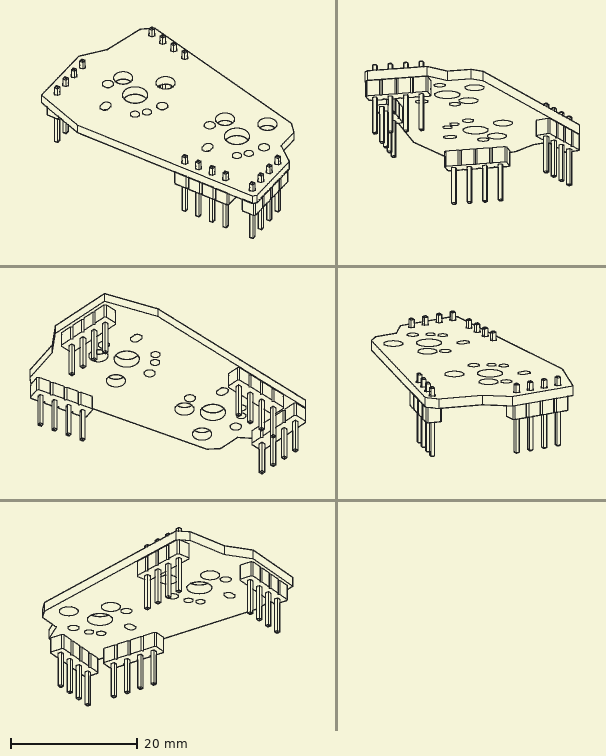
import cadquery as cq
import math

BOARD_LENGTH = 41.95
BOARD_THICKNESS = 1.6
BACK_EDGE_ANGLE = 15.0
BACK_EDGE_START_X = 6.55
BACK_EDGE_END = (37.3, 18.32)
LEFT_SIDE_LOW_Y = 3.2
LEFT_SIDE_HIGH_Y = 14.4
LEFT_NOTCH = (2.98, 18.15)
BACK_LEFT_CORNER = (4.8, 25.1)
BACK_RIGHT_SIDE_X = 38.8
BACK_RIGHT_SIDE_HIGH_Y = 16.7
BACK_RIGHT_SIDE_LOW_Y = 12.85
RIGHT_SIDE_HIGH_Y = 10.27
FRONT_RIGHT_CHAMFER = 0.55
FRONT_EDGE_START_X = 8.72

PINS_PER_HEADER = 4
HEADER_LENGTH = 10.15
PITCH = HEADER_LENGTH / PINS_PER_HEADER
BLOCK_HEIGHT = PITCH
BLOCK_CHAMFER = 0.25
PIN_WIDTH = 0.63
PIN_LENGTH = 11.55
PIN_ABOVE_BOARD = 1.4
PIN_TIP_CHAMFER = 0.15
PIN_HOLE_DIAMETER = 1.0

HEADER_PLACES = [
    ((1.85, 4.9), 90.0),
    ((40.5, 1.43), 90.0),
    ((27.93, 1.4), 0.0),
    ((7.05, 25.0), -BACK_EDGE_ANGLE),
]

GRID = PITCH / 2
SWITCH_CENTERS = [(12.58, 11.05), (31.6, 11.05)]
CENTER_HOLE_DIAMETER = 4.0
PEG_HOLE_DIAMETER = 1.75
SOCKET_HOLE_DIAMETER = 3.0
CONTACT_HOLE_DIAMETER = 1.45
PEG_HOLES = [(-4 * GRID, 0), (4 * GRID, 0)]
SOCKET_HOLES = [(-3 * GRID, 2 * GRID), (2 * GRID, 4 * GRID)]
CONTACT_HOLES = [(3 * GRID, -2 * GRID), (2.47, -4.0)]
SLOT_CENTER = (-2 * GRID, -4.8)
SLOT_LENGTH = 2.05


def pin_points(first_pin, row_angle):
    """Centres of a header's pins, evenly spaced along its row."""
    angle = math.radians(row_angle)
    return [
        (first_pin[0] + i * PITCH * math.cos(angle), first_pin[1] + i * PITCH * math.sin(angle))
        for i in range(PINS_PER_HEADER)
    ]


def cut_holes(plate, centers, diameter):
    """Drill round holes through the plate."""
    cutters = cq.Workplane("XY").pushPoints(centers).circle(diameter / 2).extrude(BOARD_THICKNESS)
    return plate.cut(cutters)


def cut_switch_footprint(plate, center):
    """Cut the round holes and the slot of one key switch."""
    def placed(offsets):
        return [(center[0] + x, center[1] + y) for x, y in offsets]

    plate = cut_holes(plate, [center], CENTER_HOLE_DIAMETER)
    plate = cut_holes(plate, placed(PEG_HOLES), PEG_HOLE_DIAMETER)
    plate = cut_holes(plate, placed(SOCKET_HOLES), SOCKET_HOLE_DIAMETER)
    plate = cut_holes(plate, placed(CONTACT_HOLES), CONTACT_HOLE_DIAMETER)
    slot = (
        cq.Workplane("XY")
        .pushPoints(placed([SLOT_CENTER]))
        .slot2D(SLOT_LENGTH, CONTACT_HOLE_DIAMETER, 90)
        .extrude(BOARD_THICKNESS)
    )
    return plate.cut(slot)


def make_board():
    """The plate with its switch footprints and the holes for the header pins."""
    back_edge_run = BACK_EDGE_END[0] - BACK_EDGE_START_X
    back_edge_rise = back_edge_run * math.tan(math.radians(BACK_EDGE_ANGLE))
    outline = [
        (FRONT_EDGE_START_X, 0),
        (BOARD_LENGTH - FRONT_RIGHT_CHAMFER, 0),
        (BOARD_LENGTH, FRONT_RIGHT_CHAMFER),
        (BOARD_LENGTH, RIGHT_SIDE_HIGH_Y),
        (BACK_RIGHT_SIDE_X, BACK_RIGHT_SIDE_LOW_Y),
        (BACK_RIGHT_SIDE_X, BACK_RIGHT_SIDE_HIGH_Y),
        BACK_EDGE_END,
        (BACK_EDGE_START_X, BACK_EDGE_END[1] + back_edge_rise),
        BACK_LEFT_CORNER,
        LEFT_NOTCH,
        (0, LEFT_SIDE_HIGH_Y),
        (0, LEFT_SIDE_LOW_Y),
    ]
    plate = cq.Workplane("XY").polyline(outline).close().extrude(BOARD_THICKNESS)
    for center in SWITCH_CENTERS:
        plate = cut_switch_footprint(plate, center)
    for first_pin, row_angle in HEADER_PLACES:
        plate = cut_holes(plate, pin_points(first_pin, row_angle), PIN_HOLE_DIAMETER)
    return plate


def make_header(first_pin, row_angle):
    """One header: four joined blocks against the board's lower face, each with its pin."""
    pin_bottom = BOARD_THICKNESS + PIN_ABOVE_BOARD - PIN_LENGTH
    block = (
        cq.Workplane("XY", origin=(0, 0, -BLOCK_HEIGHT))
        .rect(PITCH, PITCH)
        .extrude(BLOCK_HEIGHT)
        .edges("|Z")
        .chamfer(BLOCK_CHAMFER)
    )
    pin = (
        cq.Workplane("XY", origin=(0, 0, pin_bottom))
        .rect(PIN_WIDTH, PIN_WIDTH)
        .extrude(PIN_LENGTH)
        .faces("<Z or >Z")
        .chamfer(PIN_TIP_CHAMFER)
    )
    unit = block.union(pin)
    header = unit
    for i in range(1, PINS_PER_HEADER):
        header = header.union(unit.translate((i * PITCH, 0, 0)))
    return header.rotate((0, 0, 0), (0, 0, 1), row_angle).translate((*first_pin, 0))


board = make_board()
headers = [make_header(first_pin, row_angle) for first_pin, row_angle in HEADER_PLACES]

result = cq.Compound.makeCompound([board.val(), *[header.val() for header in headers]])